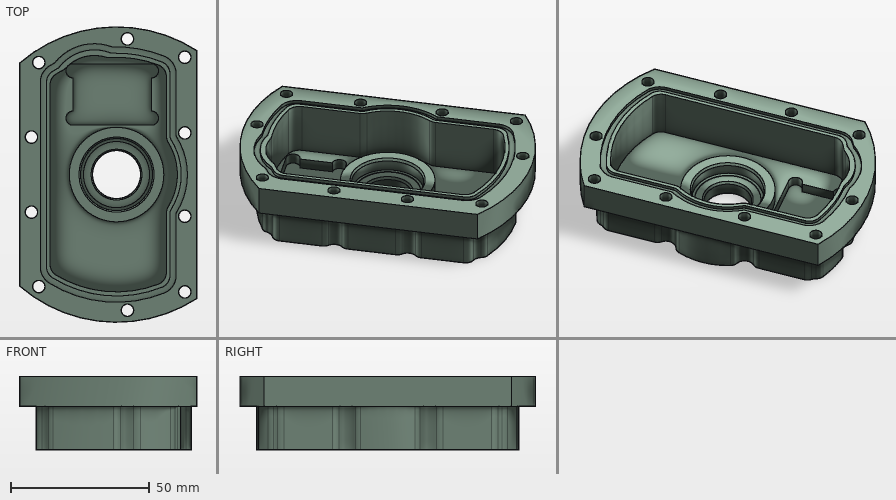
import cadquery as cq
import math

total_height = 26.6
flange_thickness = 10.9
flange_left = -35.0
flange_right = 29.0
flange_end_radius = 53.4

bolt_hole_diameter = 4.4
bolt_half_pattern = [(-30.7, 13.6), (-28.1, 40.5), (4.0, 49.0), (24.7, 42.4), (24.7, 15.0)]
bolt_places = [(x, side * y) for x, y in bolt_half_pattern for side in (1, -1)]

cavity_left = -24.0
cavity_right = 18.0
cavity_end_radius = 42.4
cavity_hub_radius = 22.0
cavity_lobe_radius = 14.0
cavity_corner_radius = 4.7
cavity_blend_radius = cavity_corner_radius
cavity_depth = 19.4
lobe_center = (-8.0, 29.0)

joint_tolerance = 0.001

wall_thickness = 5.0
scallop_radius = 3.6
scallop_edge_radius = 3.3

groove_width = 2.2
groove_depth = 1.3
groove_side_gap = 3.5
groove_end_radius = 46.1
groove_hub_radius = 25.6
groove_lobe_radius = 18.3
groove_corner_radius = 6.9
groove_blend_radius = 0.4

boss_radius = 17.1
boss_top = -14.8
seat_radius = 13.0
seat_depth = 19.7
recess_radius = 12.0
recess_depth = 0.2
bore_radius = 8.6
chamfer_width = 0.5
chamfer_depth = 1.0
exit_chamfer_width = 1.5

pocket_left = -15.7
pocket_right = 12.6
pocket_front = 17.8
pocket_back = 40.0
pocket_depth = 4.0
relief_radius = 2.6


def disc(radius, top, height, center=(0, 0)):
    """Solid cylinder hanging down from the given top level."""
    return cq.Workplane("XY", origin=(*center, top)).circle(radius).extrude(-height)


def block(left, right, front, back, top, height):
    """Solid box hanging down from the given top level."""
    middle = ((left + right) / 2, (front + back) / 2, top)
    return cq.Workplane("XY", origin=middle).rect(right - left, back - front).extrude(-height)


def round_ended(left, right, end_radius, top, height):
    """Solid with straight left and right sides and ends on a circle about the bore."""
    sides = block(left, right, -end_radius, end_radius, top, height)
    return disc(end_radius, top, height).intersect(sides)


def lobed(left, right, end_radius, hub_radius, lobe_radius, corner_radius, blend_radius, depth):
    """Chamber with rounded corners, a hub bulge and a corner lobe, both blended into the sides."""
    bulges = [((0, 0), hub_radius), (lobe_center, lobe_radius)]

    def is_bulge_joint(edge):
        middle = edge.Center()
        offsets = [math.dist((middle.x, middle.y), center) - radius for center, radius in bulges]
        return min(abs(offset) for offset in offsets) < joint_tolerance

    chamber = round_ended(left, right, end_radius, 0, depth).edges("|Z").fillet(corner_radius)
    for center, radius in bulges:
        chamber = chamber.union(disc(radius, 0, depth, center))
    return chamber.edges("|Z").filter(is_bulge_joint).fillet(blend_radius)


def flange():
    return round_ended(flange_left, flange_right, flange_end_radius, 0, flange_thickness)


def housing():
    height = total_height - flange_thickness
    body = round_ended(
        cavity_left - wall_thickness,
        cavity_right + wall_thickness,
        cavity_end_radius + wall_thickness,
        -flange_thickness,
        height,
    )
    body = body.union(disc(cavity_hub_radius + wall_thickness, -flange_thickness, height))
    for place in bolt_places:
        body = body.cut(disc(scallop_radius, -flange_thickness, height, place))
    return body.edges("|Z").fillet(scallop_edge_radius)


def seal_groove():
    """Ring whose inner edge keeps a constant distance from its outer edge."""

    def filled(inset):
        return lobed(
            cavity_left - groove_side_gap + inset,
            cavity_right + groove_side_gap - inset,
            groove_end_radius - inset,
            groove_hub_radius - inset,
            groove_lobe_radius - inset,
            groove_corner_radius - inset,
            groove_blend_radius + inset,
            groove_depth,
        )

    return filled(0).cut(filled(groove_width))


def cavity():
    return lobed(
        cavity_left,
        cavity_right,
        cavity_end_radius,
        cavity_hub_radius,
        cavity_lobe_radius,
        cavity_corner_radius,
        cavity_blend_radius,
        cavity_depth,
    )


def floor_pocket():
    top = -cavity_depth
    pocket = block(pocket_left, pocket_right, pocket_front, pocket_back, top, pocket_depth)
    for x in (pocket_left, pocket_right):
        for y in (pocket_front + relief_radius, pocket_back - relief_radius):
            pocket = pocket.union(disc(relief_radius, top, pocket_depth, (x, y)))
    return pocket


def boss():
    return disc(boss_radius, boss_top, total_height + boss_top)


def stepped_bore():
    """Revolved cutter for the bearing seat, its recess and the through bore, with chamfered mouths."""
    recess_floor = -seat_depth - recess_depth
    profile = [
        (0, boss_top),
        (seat_radius + chamfer_width, boss_top),
        (seat_radius, boss_top - chamfer_depth),
        (seat_radius, -seat_depth),
        (recess_radius, -seat_depth),
        (recess_radius, recess_floor),
        (bore_radius + chamfer_width, recess_floor),
        (bore_radius, recess_floor - chamfer_depth),
        (bore_radius, chamfer_depth - total_height),
        (bore_radius + exit_chamfer_width, -total_height),
        (0, -total_height),
    ]
    return cq.Workplane("XZ").polyline(profile).close().revolve(360, (0, 0), (0, 1))


result = flange().union(housing()).cut(cavity()).cut(floor_pocket()).union(boss())
result = result.cut(stepped_bore()).cut(seal_groove())
for bolt_place in bolt_places:
    result = result.cut(disc(bolt_hole_diameter / 2, 0, flange_thickness, bolt_place))